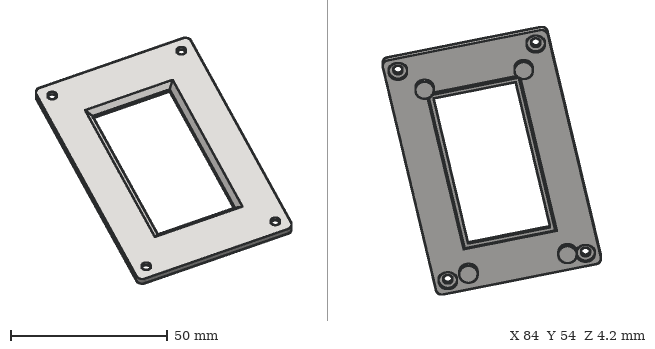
import cadquery as cq

plate_length = 84.0
plate_width = 54.0
plate_thickness = 2.5
corner_radius = 2.0

mount_hole_diameter = 3.0
mount_hole_inset = 4.45
counterbore_diameter = 6.0
counterbore_depth = 1.0

window_top_length = 55.8
window_top_width = 30.6
window_bottom_length = 52.1
window_bottom_width = 26.9
throat_height = 1.2

rim_height = 0.5
rim_root_length = window_top_length
rim_root_width = window_top_width

boss_diameter = 6.0
boss_height = 1.7
boss_x_positions = (-36.0, 30.0)
boss_y_positions = (-15.45, 17.0)


def tapered_block(top_z, top_size, bottom_z, bottom_size):
    """Rectangular frustum centred on the Z axis."""
    return (
        cq.Workplane("XY", origin=(0, 0, bottom_z))
        .rect(*bottom_size)
        .workplane(offset=top_z - bottom_z)
        .rect(*top_size)
        .loft(ruled=True)
    )


def make_plate():
    """Flat plate with rounded vertical corners."""
    return (
        cq.Workplane("XY")
        .box(plate_length, plate_width, plate_thickness, centered=(True, True, False))
        .edges("|Z")
        .fillet(corner_radius)
    )


def make_rim():
    """Low frame below the plate, with 45 degree outer sides."""
    tip_size = (rim_root_length - 2 * rim_height, rim_root_width - 2 * rim_height)
    return tapered_block(0, (rim_root_length, rim_root_width), -rim_height, tip_size)


def make_window():
    """Opening with sloped upper sides above a short straight-sided throat."""
    throat_top_z = throat_height - rim_height
    throat_size = (window_bottom_length, window_bottom_width)
    slope = tapered_block(
        plate_thickness,
        (window_top_length, window_top_width),
        throat_top_z,
        throat_size,
    )
    throat = (
        cq.Workplane("XY", origin=(0, 0, -rim_height))
        .rect(*throat_size)
        .extrude(throat_height)
    )
    return slope.union(throat)


def make_bosses():
    """Four round standoffs below the plate."""
    centres = [(x, y) for x in boss_x_positions for y in boss_y_positions]
    return cq.Workplane("XY").pushPoints(centres).circle(boss_diameter / 2).extrude(-boss_height)


def make_mount_holes():
    """Cutters for the corner through holes, counterbored from the underside."""
    spacing_x = plate_length - 2 * mount_hole_inset
    spacing_y = plate_width - 2 * mount_hole_inset
    centres = cq.Workplane("XY").rarray(spacing_x, spacing_y, 2, 2)
    holes = centres.circle(mount_hole_diameter / 2).extrude(plate_thickness)
    counterbores = centres.circle(counterbore_diameter / 2).extrude(counterbore_depth)
    return holes.union(counterbores)


body = make_plate().union(make_rim()).union(make_bosses())
result = body.cut(make_window()).cut(make_mount_holes())